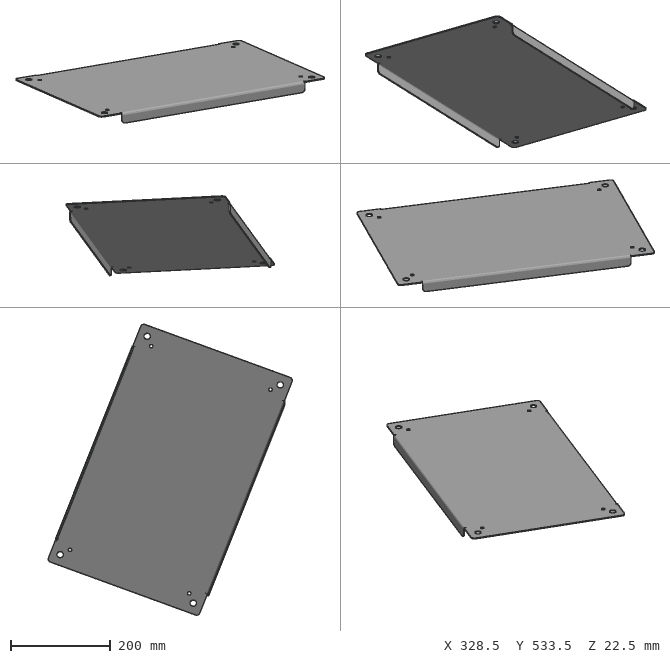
import cadquery as cq

LENGTH = 533.5
WIDTH = 328.5
HEIGHT = 22.5

THICKNESS = 2.5
BEND_RADIUS = 6.0
INNER_BEND_RADIUS = BEND_RADIUS - THICKNESS

EDGE_INSET = 1.5
PLATE_WIDTH = WIDTH - 2 * EDGE_INSET
PLATE_CORNER_RADIUS = 7.0

FLANGE_LENGTH = 433.0
FLANGE_CORNER_RADIUS = 8.0

LARGE_HOLES = (13.0, 286.0, 490.0)
SMALL_HOLES = (7.0, 256.0, 457.5)


def flat_plate():
    """Full-length plate with rounded corners; its top face is at Z = HEIGHT."""
    return (
        cq.Workplane("XY", origin=(0, 0, HEIGHT - THICKNESS))
        .rect(PLATE_WIDTH, LENGTH)
        .extrude(THICKNESS)
        .edges("|Z")
        .fillet(PLATE_CORNER_RADIUS)
    )


def bent_channel():
    """Middle stretch of the sheet, bent down along both long sides."""
    outer = (
        cq.Workplane("XY")
        .box(WIDTH, FLANGE_LENGTH, HEIGHT, centered=(True, True, False))
        .edges("|Y and >Z")
        .fillet(BEND_RADIUS)
    )
    inner = (
        cq.Workplane("XY")
        .box(WIDTH - 2 * THICKNESS, FLANGE_LENGTH, HEIGHT - THICKNESS, centered=(True, True, False))
        .edges("|Y and >Z")
        .fillet(INNER_BEND_RADIUS)
    )
    return outer.cut(inner).edges("|X and <Z").fillet(FLANGE_CORNER_RADIUS)


def trim_bend_zone(plate):
    """Remove the plate's square edges where the bends replace them."""
    middle = cq.Workplane("XY").box(WIDTH, FLANGE_LENGTH, HEIGHT, centered=(True, True, False))
    return plate.cut(middle)


def hole_pattern(diameter, spacing_x, spacing_y):
    """Four through-hole cutters, one near each corner."""
    return (
        cq.Workplane("XY")
        .rect(spacing_x, spacing_y, forConstruction=True)
        .vertices()
        .circle(diameter / 2)
        .extrude(HEIGHT)
    )


result = trim_bend_zone(flat_plate()).union(bent_channel())
for holes in (LARGE_HOLES, SMALL_HOLES):
    result = result.cut(hole_pattern(*holes))